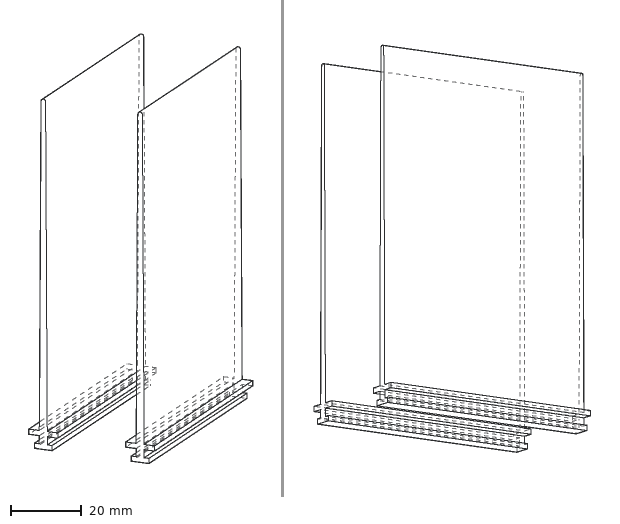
import cadquery as cq

height = 103.8
length = 68.0
panel_pitch = 30.0

upper_flange_width = 9.0
foot_width = 5.5
flange_thickness = 1.6
neck_height = 2.4

wall_base_width = 2.5
wall_top_width = 1.5

neck_bottom = flange_thickness
neck_top = neck_bottom + neck_height
wall_bottom = neck_top + flange_thickness
round_start = height - wall_top_width / 2


def make_panel(center_x):
    """Extrude the symmetric rail and wall profile along Y as one body."""
    right_side = [
        (foot_width / 2, 0),
        (foot_width / 2, neck_bottom),
        (wall_base_width / 2, neck_bottom),
        (wall_base_width / 2, neck_top),
        (upper_flange_width / 2, neck_top),
        (upper_flange_width / 2, wall_bottom),
        (wall_base_width / 2, wall_bottom),
        (wall_top_width / 2, round_start),
    ]
    left_side = [(-x, z) for x, z in reversed(right_side)]
    return (
        cq.Workplane("XZ", origin=(center_x, length / 2, 0))
        .polyline(right_side)
        .threePointArc((0, height), left_side[0])
        .polyline(left_side[1:], includeCurrent=True)
        .close()
        .extrude(length)
    )


panels = [make_panel(side * panel_pitch / 2) for side in (-1, 1)]

result = cq.Compound.makeCompound([panel.val() for panel in panels])